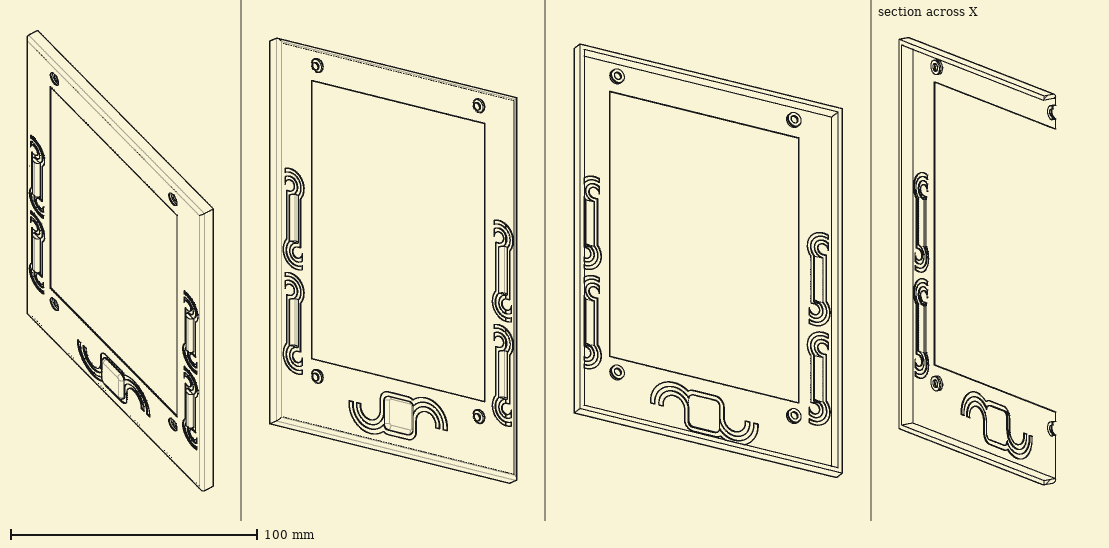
import cadquery as cq

WIDTH = 122.5
HEIGHT = 164.4
DEPTH = 6.0
PANEL_THICKNESS = 0.5
RIM_THICKNESS = 2.0
EDGE_RADIUS = 1.5

WINDOW_WIDTH = 88.4
WINDOW_HEIGHT = 119.5
WINDOW_CENTRE_Z = 7.5

SCREW_DIAMETER = 3.2
SCREW_HEAD_DIAMETER = 5.7
SCREW_HEAD_DEPTH = 1.2
SCREW_BOSS_DIAMETER = 6.0
SCREW_BOSS_DEPTH = 2.0
SCREW_X = 41.25
SCREW_TOP_Z = 74.3
SCREW_BOTTOM_Z = -59.2

BUTTON_RISE = 1.5

SIDE_BUTTON_LENGTH = 20.0
SIDE_BUTTON_WIDTH = 4.0
SIDE_BUTTON_EDGE_RADIUS = 1.5
SIDE_SLOT = 1.6
SIDE_ARM = 1.7
SIDE_HOOK_INNER_RADIUS = 2.4
SIDE_HOOK_TAIL = 2.4
SIDE_HOOK_OFFSET = -SIDE_BUTTON_WIDTH / 2
SIDE_BUTTON_X = 53.4
SIDE_BUTTON_UPPER_Z = 5.8
SIDE_BUTTON_PITCH = 44.8

MAIN_BUTTON_SIZE = 14.4
MAIN_BUTTON_CORNER_RADIUS = 2.2
MAIN_BUTTON_EDGE_RADIUS = 1.6
MAIN_SLOT = 2.0
MAIN_ARM = 1.9
MAIN_HOOK_INNER_RADIUS = 5.0
MAIN_HOOK_TAIL = 0.9
MAIN_HOOK_OFFSET = -0.3
MAIN_BUTTON_Z = -67.5


def slab(length, height, y_front, y_back):
    """Box centred on the Y axis, between two Y positions."""
    return cq.Workplane("XZ", origin=(0, y_back, 0)).rect(length, height).extrude(y_back - y_front)


def disc(diameter, thickness):
    """Disc centred on the Y axis, reaching back from the front face."""
    return cq.Workplane("XZ", origin=(0, thickness, 0)).circle(diameter / 2).extrude(thickness)


def half_turn(body):
    return body.rotate((0, 0, 0), (0, 1, 0), 180)


def swap_x_and_z(body):
    return body.mirror("XY").rotate((0, 0, 0), (0, 1, 0), -90)


def hook(inner_radius, outer_radius, tail):
    """Half ring above the X axis whose +X leg carries on below the axis by the tail length."""
    ring = disc(2 * outer_radius, PANEL_THICKNESS).cut(disc(2 * inner_radius, PANEL_THICKNESS))
    span = 2 * outer_radius
    upper = slab(span, span, 0, PANEL_THICKNESS).translate((0, 0, span / 2))
    leg = slab(outer_radius, tail, 0, PANEL_THICKNESS).translate((outer_radius / 2, 0, -tail / 2))
    return ring.intersect(upper.union(leg))


def spring_slots(length, height, corner_radius, slot, arm, inner_radius, tail, hook_offset):
    """Slots that free a length x height button at the origin and its spring arms.

    One arm leaves the +X end of the button and the other is the same arm given a half turn.
    Each arm is a hook lying between an inner and an outer slot.
    """
    arm_inner = inner_radius + slot
    arm_outer = arm_inner + arm
    hook_centre = (length / 2 + arm_inner, 0, hook_offset)

    gap = slab(length + 2 * slot, height + 2 * slot, 0, PANEL_THICKNESS)
    button = slab(length, height, 0, PANEL_THICKNESS)
    if corner_radius > 0:
        gap = gap.edges("|Y").fillet(corner_radius + slot)
        button = button.edges("|Y").fillet(corner_radius)

    hook_opening = hook(inner_radius, arm_outer + slot, tail).translate(hook_centre)
    spring_arm = hook(arm_inner, arm_outer, tail).translate(hook_centre)

    openings = gap.union(hook_opening).union(half_turn(hook_opening))
    return openings.cut(spring_arm).cut(half_turn(spring_arm)).cut(button)


def bezel_tray():
    tray = slab(WIDTH, HEIGHT, 0, DEPTH).faces("<Y").edges().fillet(EDGE_RADIUS)
    cavity = slab(WIDTH - 2 * RIM_THICKNESS, HEIGHT - 2 * RIM_THICKNESS, PANEL_THICKNESS, DEPTH)
    window = slab(WINDOW_WIDTH, WINDOW_HEIGHT, 0, DEPTH).translate((0, 0, WINDOW_CENTRE_Z))
    return tray.cut(cavity).cut(window)


def screw_boss():
    return disc(SCREW_BOSS_DIAMETER, SCREW_BOSS_DEPTH)


def screw_hole():
    return disc(SCREW_DIAMETER, DEPTH).union(disc(SCREW_HEAD_DIAMETER, SCREW_HEAD_DEPTH))


def side_button():
    """Upright button with its long front edges rounded."""
    body = slab(SIDE_BUTTON_WIDTH, SIDE_BUTTON_LENGTH, -BUTTON_RISE, PANEL_THICKNESS)
    return body.faces("<Y").edges("|Z").fillet(SIDE_BUTTON_EDGE_RADIUS)


def side_button_slots():
    lying_slots = spring_slots(
        length=SIDE_BUTTON_LENGTH,
        height=SIDE_BUTTON_WIDTH,
        corner_radius=0,
        slot=SIDE_SLOT,
        arm=SIDE_ARM,
        inner_radius=SIDE_HOOK_INNER_RADIUS,
        tail=SIDE_HOOK_TAIL,
        hook_offset=SIDE_HOOK_OFFSET,
    )
    return swap_x_and_z(lying_slots)


def main_button():
    """Square button with rounded corners and a rounded front edge."""
    body = slab(MAIN_BUTTON_SIZE, MAIN_BUTTON_SIZE, -BUTTON_RISE, PANEL_THICKNESS)
    body = body.edges("|Y").fillet(MAIN_BUTTON_CORNER_RADIUS)
    return body.faces("<Y").edges().fillet(MAIN_BUTTON_EDGE_RADIUS)


def main_button_slots():
    return spring_slots(
        length=MAIN_BUTTON_SIZE,
        height=MAIN_BUTTON_SIZE,
        corner_radius=MAIN_BUTTON_CORNER_RADIUS,
        slot=MAIN_SLOT,
        arm=MAIN_ARM,
        inner_radius=MAIN_HOOK_INNER_RADIUS,
        tail=MAIN_HOOK_TAIL,
        hook_offset=MAIN_HOOK_OFFSET,
    )


def add_button(bezel, button, slots, place):
    return bezel.cut(slots.translate(place)).union(button.translate(place))


result = bezel_tray()

for x in (-SCREW_X, SCREW_X):
    for z in (SCREW_BOTTOM_Z, SCREW_TOP_Z):
        place = (x, 0, z)
        result = result.union(screw_boss().translate(place)).cut(screw_hole().translate(place))

for x in (-SIDE_BUTTON_X, SIDE_BUTTON_X):
    for z in (SIDE_BUTTON_UPPER_Z, SIDE_BUTTON_UPPER_Z - SIDE_BUTTON_PITCH):
        result = add_button(result, side_button(), side_button_slots(), (x, 0, z))

result = add_button(result, main_button(), main_button_slots(), (0, 0, MAIN_BUTTON_Z))